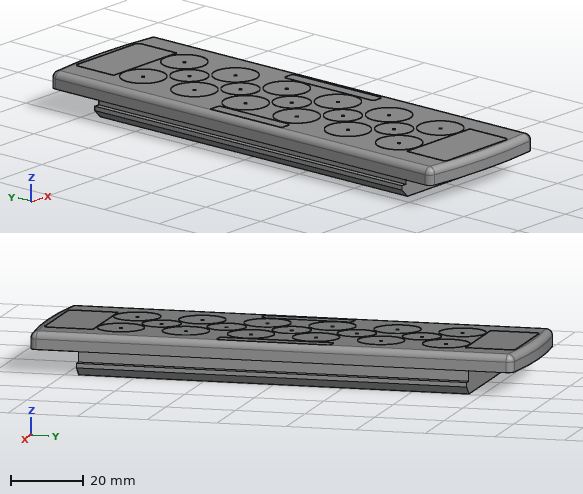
import cadquery as cq

plate_width = 44.0
plate_length = 141.7
plate_thickness = 5.0
end_bow = 1.5
corner_radius = 2.0
rim_radius = 2.0

total_height = 12.0
pitch = 18.7
base_length = 6 * pitch
neck_left = -16.9
neck_right = 19.4
flange_left = -18.5
flange_right = 21.5
flange_height = 3.7
flange_chamfer = 2.4

marking_depth = 0.1

large_disc_diameter = 13.2
small_disc_diameter = 10.9
pin_diameter = 0.9
large_column_x = 8.8
large_rows = 6
small_rows = 5

label_width = 26.9
label_length = 14.2
label_centre_y = 60.7
label_corner_radius = 1.3
left_mark_length = 26.1
right_mark_length = 32.9
mark_width = 3.8
mark_corner_radius = 1.0
mark_gap = 0.4

plate_bottom = total_height - plate_thickness
half_width = plate_width / 2
half_length = plate_length / 2


def make_plate():
    shoulder_y = half_length - end_bow
    outline = (
        cq.Workplane("XY", origin=(0, 0, plate_bottom))
        .moveTo(-half_width, -shoulder_y)
        .threePointArc((0, -half_length), (half_width, -shoulder_y))
        .lineTo(half_width, shoulder_y)
        .threePointArc((0, half_length), (-half_width, shoulder_y))
        .close()
    )
    block = outline.extrude(plate_thickness)
    return block.edges("|Z").fillet(corner_radius).faces(">Z").edges().fillet(rim_radius)


def make_base():
    profile = [
        (neck_left, plate_bottom),
        (neck_left, flange_height),
        (flange_left, flange_height),
        (flange_left, flange_chamfer),
        (flange_left + flange_chamfer, 0),
        (flange_right - flange_chamfer, 0),
        (flange_right, flange_chamfer),
        (flange_right, flange_height),
        (neck_right, flange_height),
        (neck_right, plate_bottom),
    ]
    return cq.Workplane("XZ").polyline(profile).close().extrude(base_length / 2, both=True)


def sunk_cylinders(top_z, points, diameter):
    return (
        cq.Workplane("XY", origin=(0, 0, top_z))
        .pushPoints(points)
        .circle(diameter / 2)
        .extrude(-marking_depth)
    )


def row_positions(count):
    return [(row - (count - 1) / 2) * pitch for row in range(count)]


def sunk_rectangle(centre_x, centre_y, width, length, rounded_edges, radius):
    block = (
        cq.Workplane("XY", origin=(centre_x, centre_y, total_height))
        .rect(width, length)
        .extrude(-marking_depth)
    )
    return block.edges("|Z").edges(rounded_edges).fillet(radius)


large_points = [(side * large_column_x, y) for side in (-1, 1) for y in row_positions(large_rows)]
small_points = [(0, y) for y in row_positions(small_rows)]

result = make_plate().union(make_base())

result = result.cut(sunk_cylinders(total_height, large_points, large_disc_diameter))
result = result.cut(sunk_cylinders(total_height, small_points, small_disc_diameter))
result = result.cut(
    sunk_cylinders(total_height - marking_depth, large_points + small_points, pin_diameter)
)

for centre_y, outer_edges in ((label_centre_y, ">Y"), (-label_centre_y, "<Y")):
    result = result.cut(
        sunk_rectangle(0, centre_y, label_width, label_length, outer_edges, label_corner_radius)
    )

flat_edge = half_width - rim_radius
right_mark_x = flat_edge - mark_gap - mark_width / 2
left_mark_x = -right_mark_x
result = result.cut(
    sunk_rectangle(left_mark_x, 0, mark_width, left_mark_length, ">X", mark_corner_radius)
)
result = result.cut(
    sunk_rectangle(right_mark_x, 0, mark_width, right_mark_length, "|Z", mark_corner_radius)
)